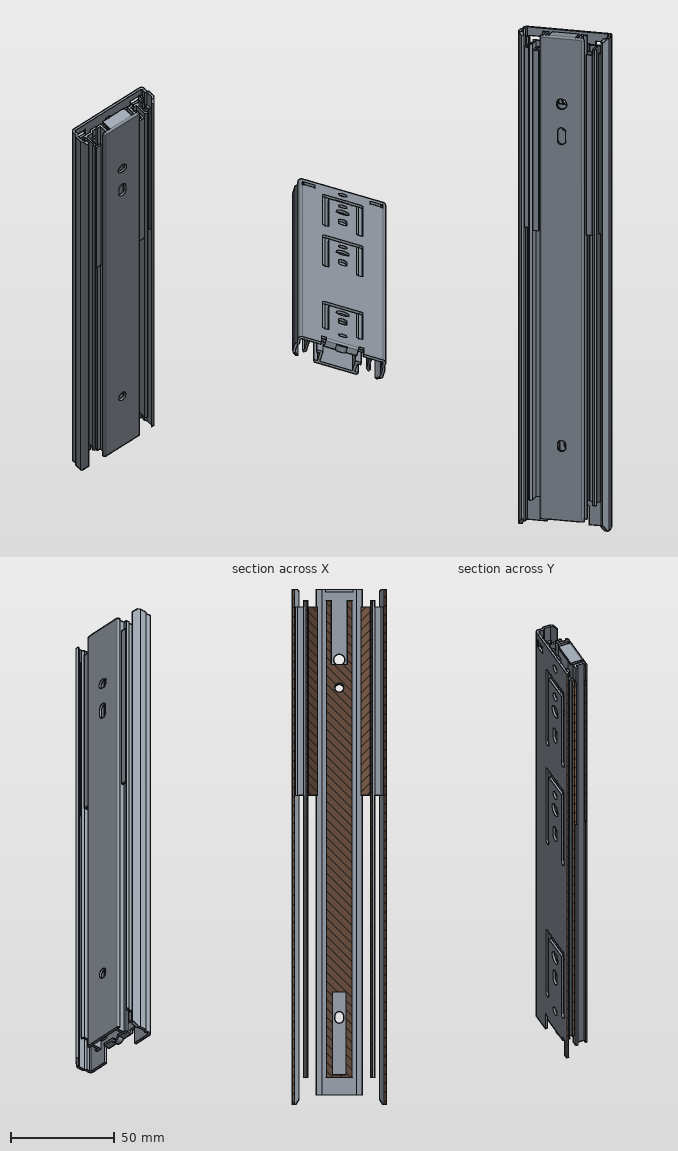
import cadquery as cq


LENGTH = 250.0
THICKNESS = 12.2
WIDTH = 45.8
HALF_WIDTH = WIDTH / 2
SHEET = 1.2
CUT_DEPTH = 3 * THICKNESS

WEB_HALF = 20.5
ROOT_END = (1.5, 22.2)
ROOT_MIDDLE = (0.5, 21.8)
ROOT_INSIDE_END = (2.0, 21.0)
ROOT_INSIDE_MIDDLE = (1.5, 20.8)
DIP_X = 3.8
DIP_Y = 22.0
RACE_X = 4.5
RACE_INSIDE_X = 4.8
LIP_START_X = 8.2
LIP_MIDDLE = (10.0, 21.8)
LIP_TIP_X = 11.2
LIP_TIP_Y = 20.5
LIP_INSIDE_TIP = (10.5, 19.5)
LIP_INSIDE_MIDDLE = (9.5, 20.5)
LIP_INSIDE_START_X = 8.0
LIP_BOTTOM_RUN = 2.2
LIP_BOTTOM_RISE = 3.5
LIP_TOP_CHAMFER = 1.8

TONGUE_HALF = 7.0
TONGUE_SLOT = 3.2
TONGUE_BAR = 4.2
PATTERN_PITCH = 64.0
UPPER_SLOT_TOP = 235.0
LOWER_SLOT_TOP = 65.8
UPPER_SLOT_HEIGHT = 48.8
LOWER_SLOT_HEIGHT = 43.0
SMALL_HOLE = 4.2
LARGE_HOLE = 6.5
OBLONG_LENGTH = 8.5
SMALL_HOLE_DROP = 10.5
LARGE_HOLE_DROP = 20.0
OBLONG_DROP = 35.5
TOP_HOLE_Z = 242.8
BOTTOM_LARGE_HOLE_Z = 54.8
BOTTOM_OBLONG_Z = 42.0
BOTTOM_HOLE_Z = 20.0

WINDOW_INNER_Y = 14.0
WINDOW_OUTER_Y = 20.5
WINDOW_BOTTOM = 241.8
WINDOW_TOP = 245.8
STOP_SHEET = 1.0
STOP_ROOT = 0.5
STOP_REACH = 3.2

NOTCH_HALF = 10.8
NOTCH_TOP = 9.8
TAB_HALF = 8.2
TAB_TOP = 8.5
TAB_REACH = 4.0
TAB_BEND = 1.0
BEAD_RADIUS = 3.0

MIDDLE_HALF_SECTION = [
    (3.8, 5.8),
    (2.0, 8.5),
    (2.0, 11.8),
    (3.0, 12.5),
    (3.0, 17.0),
    (4.0, 17.0),
    (5.0, 16.2),
    (10.0, 16.2),
    (10.5, 17.2),
    (11.5, 16.5),
    (10.5, 15.2),
    (4.2, 15.2),
    (4.2, 12.0),
    (3.2, 11.2),
    (3.2, 9.0),
    (5.0, 6.2),
]
MIDDLE_BOTTOM = 13.0
MIDDLE_TOP = 244.5
MIDDLE_TOP_SLOT = 7.8
MIDDLE_TOP_SLOT_Z = 213.5
MIDDLE_LOW_SLOT_Z = 54.5
MIDDLE_LOW_SLOT_HEIGHT = 40.0
MIDDLE_HOLE_Z = 202.2

INNER_BOTTOM = 4.5
INNER_FLANGE_X = 5.8
INNER_WEB_HALF = 11.2
INNER_FLANGE_Y = 9.5
INNER_BEND = 1.0
INNER_TOP_CORNER = 1.5
END_TAB_X = 5.2
END_TAB_HALF = 6.8
INNER_HOLE = 5.2
INNER_HOLE_Z = 215.8
INNER_OBLONG_UPPER_Z = 199.5
INNER_OBLONG_LOWER_Z = 42.2
INNER_OBLONG_LOWER_LENGTH = 5.5

RETAINER_BOTTOM = 150.0
RETAINER_TOP = 241.5
RETAINER_SHEET = 1.0
OUTER_STRIP_X = (5.0, 8.0)
OUTER_STEM_X = 6.0
OUTER_STEM_BOTTOM = 17.2
OUTER_STEM_TOP = 20.2
INNER_BACK_X = 4.5
INNER_BACK_Y = 10.5
INNER_ARM_Y = 15.0
INNER_HOOK_X = 10.8
INNER_HOOK_Y = 12.0


def box(x_range, y_range, z_range):
    """Box between the given limits along each axis."""
    sizes = [high - low for low, high in (x_range, y_range, z_range)]
    corner = (x_range[0], y_range[0], z_range[0])
    return cq.Workplane("XY").box(*sizes, centered=False).translate(corner)


def symmetric_bar(half_outline, bottom, top):
    """Bar along Z whose section is a half outline and its mirror image across Y = 0."""
    other_half = [(x, -y) for x, y in reversed(half_outline)]
    section = cq.Workplane("XY").workplane(offset=bottom).polyline(half_outline + other_half)
    return section.close().extrude(top - bottom)


def round_hole(diameter, z):
    """Cutter along X for a round hole on the centre line."""
    return cq.Workplane("YZ").center(0, z).circle(diameter / 2).extrude(CUT_DEPTH)


def oblong_hole(length, z):
    """Cutter along X for an upright slot as wide as the small holes."""
    return cq.Workplane("YZ").center(0, z).slot2D(length, SMALL_HOLE, 90).extrude(CUT_DEPTH)


def tongue_slot(top, height):
    """U-shaped cutter that frees a tongue of the web on three sides."""
    outer_half = TONGUE_HALF + TONGUE_SLOT
    bar_bottom = top - TONGUE_BAR
    bar = box((0, SHEET), (-outer_half, outer_half), (bar_bottom, top))
    bar = bar.edges("|X and >Z").fillet(TONGUE_SLOT / 2)
    leg_y = TONGUE_HALF + TONGUE_SLOT / 2
    legs = cq.Workplane("YZ").pushPoints([(side * leg_y, top - height / 2) for side in (-1, 1)])
    legs = legs.slot2D(height, TONGUE_SLOT, 90).extrude(SHEET)
    return bar.union(legs)


def outer_flange():
    """One flange of the outer rail: rounded root, shallow dip, raised ball race and curled lip."""
    return (
        cq.Workplane("XY")
        .moveTo(0, 0)
        .lineTo(0, WEB_HALF)
        .threePointArc(ROOT_MIDDLE, ROOT_END)
        .lineTo(DIP_X, DIP_Y)
        .lineTo(RACE_X, HALF_WIDTH)
        .lineTo(LIP_START_X, HALF_WIDTH)
        .threePointArc(LIP_MIDDLE, (LIP_TIP_X, LIP_TIP_Y))
        .lineTo(*LIP_INSIDE_TIP)
        .threePointArc(LIP_INSIDE_MIDDLE, (LIP_INSIDE_START_X, HALF_WIDTH - SHEET))
        .lineTo(RACE_INSIDE_X, HALF_WIDTH - SHEET)
        .lineTo(DIP_X, DIP_Y - SHEET)
        .lineTo(*ROOT_INSIDE_END)
        .threePointArc(ROOT_INSIDE_MIDDLE, (SHEET, WEB_HALF))
        .lineTo(SHEET, 0)
        .close()
        .extrude(LENGTH)
    )


def lip_corner(z, rise, run):
    """Wedge that takes the corner off both lips at one end of the outer rail."""
    corner = [(LIP_TIP_X - run, z), (THICKNESS, z), (THICKNESS, z + rise), (LIP_TIP_X, z + rise)]
    return cq.Workplane("XZ").polyline(corner).close().extrude(HALF_WIDTH, both=True)


def bottom_tab():
    """Tab bent inward from the web, stiffened by a round bead."""
    tab_bottom = TAB_TOP - SHEET
    tab = box((0, TAB_REACH), (-TAB_HALF, TAB_HALF), (tab_bottom, TAB_TOP))
    web_strip = box((0, SHEET), (-TAB_HALF, TAB_HALF), (tab_bottom, NOTCH_TOP))
    tab = tab.union(web_strip).edges("|Y and <X and <Z").fillet(TAB_BEND)
    bead_start = cq.Workplane("YZ", origin=(TAB_BEND, 0, TAB_TOP))
    bead = bead_start.circle(BEAD_RADIUS).extrude(TAB_REACH - TAB_BEND)
    bead = bead.intersect(box((0, TAB_REACH), (-TAB_HALF, TAB_HALF), (0, TAB_TOP)))
    groove_start = cq.Workplane("YZ", origin=(SHEET, 0, TAB_TOP))
    groove = groove_start.circle(BEAD_RADIUS - SHEET).extrude(TAB_REACH)
    return tab.union(bead).cut(groove)


def make_outer_rail():
    flange = outer_flange()
    rail = flange.union(flange.mirror("XZ"))
    rail = rail.cut(lip_corner(0, LIP_BOTTOM_RISE, LIP_BOTTOM_RUN))
    rail = rail.cut(lip_corner(LENGTH, -LIP_TOP_CHAMFER, LIP_TOP_CHAMFER))

    for slot_top in (UPPER_SLOT_TOP, UPPER_SLOT_TOP - PATTERN_PITCH):
        rail = rail.cut(tongue_slot(slot_top, UPPER_SLOT_HEIGHT))
        rail = rail.cut(round_hole(SMALL_HOLE, slot_top - SMALL_HOLE_DROP))
        rail = rail.cut(round_hole(LARGE_HOLE, slot_top - LARGE_HOLE_DROP))
        rail = rail.cut(oblong_hole(OBLONG_LENGTH, slot_top - OBLONG_DROP))
    rail = rail.cut(tongue_slot(LOWER_SLOT_TOP, LOWER_SLOT_HEIGHT))
    rail = rail.cut(round_hole(LARGE_HOLE, BOTTOM_LARGE_HOLE_Z))
    rail = rail.cut(oblong_hole(OBLONG_LENGTH, BOTTOM_OBLONG_Z))
    for z in (TOP_HOLE_Z, BOTTOM_HOLE_Z):
        rail = rail.cut(round_hole(SMALL_HOLE, z))

    window_z = (WINDOW_BOTTOM, WINDOW_TOP)
    window = box((0, SHEET), (WINDOW_INNER_Y, WINDOW_OUTER_Y), window_z)
    stop = box((STOP_ROOT, STOP_REACH), (WINDOW_OUTER_Y - STOP_SHEET, WINDOW_OUTER_Y), window_z)
    for cutter, bent_stop in ((window, stop), (window.mirror("XZ"), stop.mirror("XZ"))):
        rail = rail.cut(cutter).union(bent_stop)

    rail = rail.cut(box((0, SHEET), (-NOTCH_HALF, NOTCH_HALF), (0, NOTCH_TOP)))
    return rail.union(bottom_tab())


def make_middle_rail():
    """Rail with a recessed centre channel and flanges grooved on the outside."""
    rail = symmetric_bar(
        MIDDLE_HALF_SECTION,
        MIDDLE_BOTTOM,
        MIDDLE_TOP,
    )
    top_slot_y = (-MIDDLE_TOP_SLOT / 2, MIDDLE_TOP_SLOT / 2)
    rail = rail.cut(box((0, THICKNESS), top_slot_y, (MIDDLE_TOP_SLOT_Z, LENGTH)))
    low_slot_z = (MIDDLE_LOW_SLOT_Z - MIDDLE_LOW_SLOT_HEIGHT, MIDDLE_LOW_SLOT_Z)
    rail = rail.cut(box((0, THICKNESS), (-LARGE_HOLE / 2, LARGE_HOLE / 2), low_slot_z))
    return rail.cut(round_hole(SMALL_HOLE, MIDDLE_HOLE_Z))


def make_inner_rail():
    """Channel closed at the top by an end tab bent inward from its web."""
    web_inside = THICKNESS - SHEET
    rail = symmetric_bar(
        [
            (THICKNESS, INNER_WEB_HALF),
            (web_inside, INNER_WEB_HALF),
            (web_inside, INNER_FLANGE_Y),
            (INNER_FLANGE_X + SHEET, INNER_FLANGE_Y),
            (INNER_FLANGE_X + SHEET, INNER_WEB_HALF),
            (INNER_FLANGE_X, INNER_WEB_HALF),
            (INNER_FLANGE_X, INNER_FLANGE_Y - SHEET),
            (web_inside, INNER_FLANGE_Y - SHEET),
        ],
        INNER_BOTTOM,
        LENGTH,
    )
    rail = rail.edges("|X").edges(">Z").edges(">Y or <Y").edges(">X").fillet(INNER_TOP_CORNER)
    end_tab = box((END_TAB_X, THICKNESS), (-END_TAB_HALF, END_TAB_HALF), (LENGTH - SHEET, LENGTH))
    rail = rail.union(end_tab).edges("|Y and >X and >Z").fillet(INNER_BEND)
    rail = rail.cut(round_hole(INNER_HOLE, INNER_HOLE_Z))
    rail = rail.cut(oblong_hole(OBLONG_LENGTH, INNER_OBLONG_UPPER_Z))
    return rail.cut(oblong_hole(INNER_OBLONG_LOWER_LENGTH, INNER_OBLONG_LOWER_Z))


def make_outer_retainer(side):
    """T-shaped ball retainer between the outer and middle rails."""
    z_range = (RETAINER_BOTTOM, RETAINER_TOP)
    strip = box(OUTER_STRIP_X, (OUTER_STEM_TOP, OUTER_STEM_TOP + RETAINER_SHEET), z_range)
    stem = box((OUTER_STEM_X, OUTER_STEM_X + RETAINER_SHEET), (OUTER_STEM_BOTTOM, OUTER_STEM_TOP), z_range)
    retainer = strip.union(stem)
    return retainer if side > 0 else retainer.mirror("XZ")


def make_inner_retainer(side):
    """Hooked ball retainer between the middle and inner rails."""
    z_range = (RETAINER_BOTTOM, RETAINER_TOP)
    back_inside = INNER_BACK_X + RETAINER_SHEET
    arm_inside = INNER_ARM_Y - RETAINER_SHEET
    hook_inside = INNER_HOOK_X - RETAINER_SHEET
    back = box((INNER_BACK_X, back_inside), (INNER_BACK_Y, INNER_ARM_Y), z_range)
    arm = box((INNER_BACK_X, INNER_HOOK_X), (arm_inside, INNER_ARM_Y), z_range)
    hook = box((hook_inside, INNER_HOOK_X), (INNER_HOOK_Y, INNER_ARM_Y), z_range)
    retainer = back.union(arm).union(hook)
    return retainer if side > 0 else retainer.mirror("XZ")


outer_rail = make_outer_rail()
middle_rail = make_middle_rail()
inner_rail = make_inner_rail()
outer_retainers = [make_outer_retainer(side) for side in (1, -1)]
inner_retainers = [make_inner_retainer(side) for side in (1, -1)]

result = cq.Compound.makeCompound(
    [body.val() for body in (outer_rail, middle_rail, inner_rail, *outer_retainers, *inner_retainers)]
)